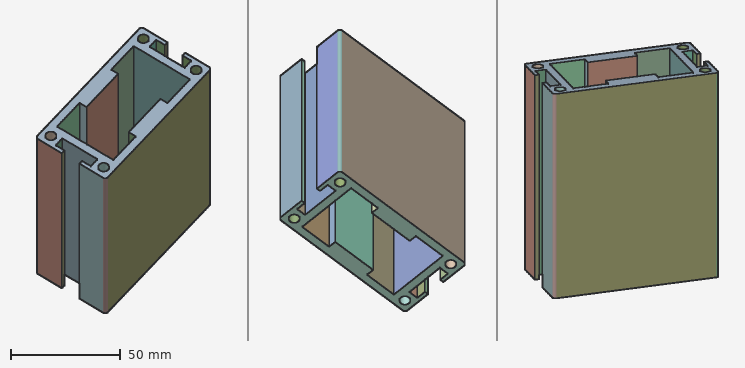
import cadquery as cq

width = 40.0
depth = 80.0
length = 100.0
corner_radius = 1.5

cavity_width = 32.0
cavity_depth = 58.0
pad_thickness = 4.0
pad_length = 24.0

slot_opening = 10.0
slot_width = 20.0
slot_depth = 7.0
lip_thickness = 2.0

hole_diameter = 5.0
hole_inset = 5.0


def through_box(size_x, size_y, center_y=0.0):
    """Box over the full length, centred on X = 0."""
    return (
        cq.Workplane("XY")
        .center(0, center_y)
        .rect(size_x, size_y)
        .extrude(length)
    )


def t_slot(side):
    """T-slot cutter for the face at side * depth / 2."""
    face_y = depth / 2
    channel_depth = slot_depth - lip_thickness
    opening = through_box(slot_opening, slot_depth, side * (face_y - slot_depth / 2))
    channel_y = face_y - lip_thickness - channel_depth / 2
    return opening.union(through_box(slot_width, channel_depth, side * channel_y))


body = through_box(width, depth).edges("|Z").fillet(corner_radius)

pads = through_box(cavity_width, pad_length).cut(
    through_box(cavity_width - 2 * pad_thickness, pad_length)
)
body = body.cut(through_box(cavity_width, cavity_depth).cut(pads))

for side in (-1, 1):
    body = body.cut(t_slot(side))

holes = (
    cq.Workplane("XY")
    .rect(width - 2 * hole_inset, depth - 2 * hole_inset, forConstruction=True)
    .vertices()
    .circle(hole_diameter / 2)
    .extrude(length)
)

result = body.cut(holes)